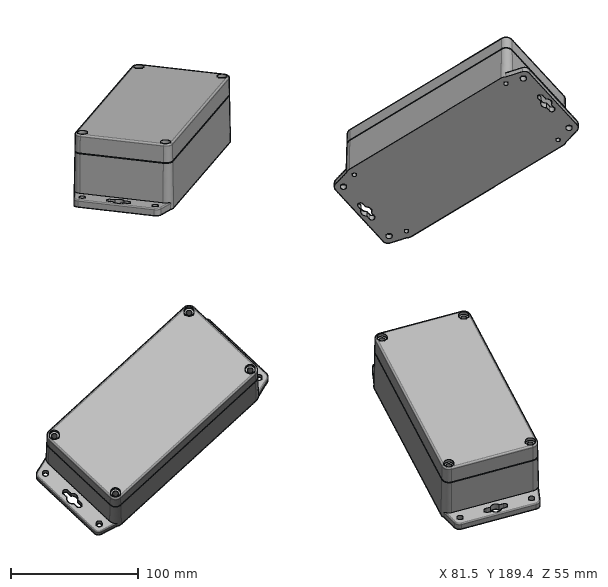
import cadquery as cq
import math

length = 189.4
width = 81.5
height = 55.0
draft_angle = 1.0
corner_radius = 6.6
body_half_length = 80.7

gasket_bottom = 39.0
gasket_thickness = 0.66
gasket_top = gasket_bottom + gasket_thickness
lid_edge_fillet = 1.5

screw_x = width / 2 - corner_radius
screw_y = body_half_length - corner_radius
screw_points = [(sx * screw_x, sy * screw_y) for sx in (-1, 1) for sy in (-1, 1)]
base_hole_radius = 1.7
clearance_hole_radius = 2.3
counterbore_radius = 4.0
counterbore_depth = 2.8

flange_thickness = 6.0
flange_end = length / 2
flange_root_half_width = 40.5
flange_end_half_width = 34.8
flange_corner_radius = 4.7
flange_edge_fillet = 1.0
mount_y = 87.9
mount_hole_x = 30.0
mount_hole_radius = 2.5
slot_length = 19.5
slot_width = 4.5
keyhole_radius = 4.4


def drafted_block(z_bottom, z_top):
    """Slice of the drafted, round-cornered enclosure between two heights."""
    inset = z_bottom * math.tan(math.radians(draft_angle))
    outline = (
        cq.Sketch()
        .rect(width - 2 * inset, 2 * (body_half_length - inset))
        .vertices()
        .fillet(corner_radius - inset)
    )
    return (
        cq.Workplane("XY", origin=(0, 0, z_bottom))
        .placeSketch(outline)
        .extrude(z_top - z_bottom, taper=draft_angle)
    )


def screw_cylinders(radius, z_bottom, z_top):
    """Four cylinders on the screw axes, used to cut holes."""
    return (
        cq.Workplane("XY", origin=(0, 0, z_bottom))
        .pushPoints(screw_points)
        .circle(radius)
        .extrude(z_top - z_bottom)
    )


def mounting_holes():
    """Two round holes and a central double keyhole, cut through the flange at +Y."""
    plane = cq.Workplane("XY", origin=(0, mount_y, 0))
    round_holes = (
        plane.pushPoints([(-mount_hole_x, 0), (mount_hole_x, 0)])
        .circle(mount_hole_radius)
        .extrude(flange_thickness)
    )
    slot = plane.slot2D(slot_length, slot_width).extrude(flange_thickness)
    keyhole = plane.circle(keyhole_radius).extrude(flange_thickness)
    return round_holes.union(slot).union(keyhole)


def flange():
    """Tapering mounting flange at the +Y end; its root lies inside the base."""
    plate = (
        cq.Workplane("XY")
        .polyline([
            (-flange_root_half_width, screw_y),
            (flange_root_half_width, screw_y),
            (flange_end_half_width, flange_end),
            (-flange_end_half_width, flange_end),
        ])
        .close()
        .extrude(flange_thickness)
        .edges("|Z and >Y")
        .fillet(flange_corner_radius)
    )
    root_edge = cq.selectors.StringSyntaxSelector("<Y")
    rim = cq.selectors.SubtractSelector(cq.selectors.StringSyntaxSelector(">Z"), root_edge)
    return plate.edges(rim).fillet(flange_edge_fillet)


def make_base():
    base = drafted_block(0, gasket_bottom)
    for turn in (0, 180):
        base = base.union(flange().rotate((0, 0, 0), (0, 0, 1), turn))
    for turn in (0, 180):
        base = base.cut(mounting_holes().rotate((0, 0, 0), (0, 0, 1), turn))
    return base.cut(screw_cylinders(base_hole_radius, 0, gasket_bottom))


def make_gasket():
    gasket = drafted_block(gasket_bottom, gasket_top)
    return gasket.cut(screw_cylinders(clearance_hole_radius, gasket_bottom, gasket_top))


def make_lid():
    lid = drafted_block(gasket_top, height).faces(">Z").edges().fillet(lid_edge_fillet)
    lid = lid.cut(screw_cylinders(clearance_hole_radius, gasket_top, height))
    return lid.cut(screw_cylinders(counterbore_radius, height - counterbore_depth, height))


base = make_base()
gasket = make_gasket()
lid = make_lid()

result = cq.Compound.makeCompound([base.val(), gasket.val(), lid.val()])